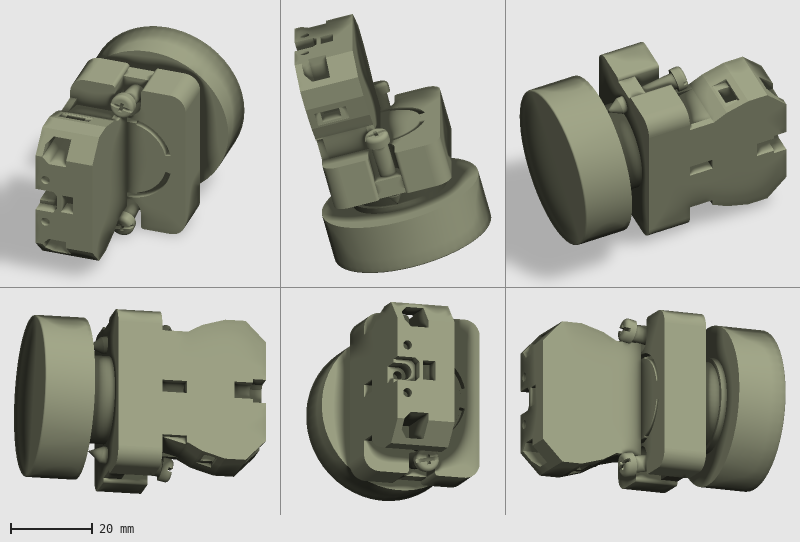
import cadquery as cq
import math


overall_length = 56.3

button_radius = 20.0
button_back_y = 6.8
button_face_y = 19.25
button_edge_radius = 0.4
neck_radius = 10.85
plunger_radius = 10.0
key_half_width = 2.2
key_height = 10.2
key_chamfer = 0.6

gasket_radius = 11.95
gasket_thickness = 1.45

base_width = 30.0
base_height = 40.0
base_depth = 11.05
base_corner_radius = 4.0
base_front_y = -base_depth
gap_radius = 11.45
gap_depth = 2.25
tab_half_angle = 13.0
notch_half_width = 3.4
notch_mouth_radius = 0.85
notch_floor_z = 12.0
bridge_depth = 4.45
bridge_top_z = 19.0

block_left_x = -base_width / 2
block_right_x = -0.2
block_front_y = button_face_y - overall_length
block_half_height = 17.85
block_root_half_height = 14.25
block_face_half_height = 12.6
root_end_y = -17.5
shoulder_y = -21.0
shoulder_half_height = 16.15
crown_start_y = -26.8
crown_end_y = -31.9

latch_left_x = -13.25
latch_right_x = -2.1
latch_half_height = 12.5

terminal_left_x = -13.25
terminal_right_x = -7.05
terminal_inner_z = 10.8
terminal_outer_z = 16.55
terminal_chamfer = 1.7
terminal_end_y = -22.1
window_left_x = -11.75
window_front_y = -25.15
label_right_x = -5.25
label_back_y = -21.55
label_floor_z = 16.25

hole_x = -12.45
hole_radius = 1.1
hole_depth = 3.4
test_hole_z = 6.0
pocket_right_x = -9.4
pocket_half_height = 3.0
pocket_chamfer = 1.0
pocket_depth = 3.25
slot_radius = 2.1
slot_depth = 7.9
indicator_left_x = -8.4
indicator_right_x = -5.25
indicator_half_height = 2.4
indicator_depth = 4.5

side_slot_radius = 1.5
side_recess_end_y = -17.15

screw_tilt = 10.8
screw_tip_y = 4.6
screw_tip_z = 13.35
screw_radius = 2.1
screw_point_length = 3.5
screw_head_radius = 3.0
screw_head_start = 18.45
screw_head_height = 2.75
screw_head_rounding = 1.0
drive_width = 0.9
drive_depth = 1.25
drive_arm_length = 2.35
drive_turn = 12.0


def block(x0, x1, y0, y1, z0, z1):
    """Rectangular block between two opposite corners."""
    return cq.Workplane("XY").box(x1 - x0, y1 - y0, z1 - z0, centered=False).translate((x0, y0, z0))


def disc(radius, y0, y1, x=0, z=0):
    """Cylinder along Y from y0 to y1."""
    return cq.Workplane("XZ", origin=(x, y0, z)).circle(radius).extrude(y0 - y1)


def prism_y(points, y0, y1):
    """Outline of (x, z) points carried along Y from y0 to y1."""
    return cq.Workplane("XZ", origin=(0, y0, 0)).polyline(points).close().extrude(y0 - y1)


def prism_x(points, x0, x1):
    """Outline of (y, z) points carried along X from x0 to x1."""
    return cq.Workplane("YZ", origin=(x0, 0, 0)).polyline(points).close().extrude(x1 - x0)


def both_sides(shape):
    """The shape together with its mirror image in Z."""
    return shape.union(shape.mirror("XY"))


def make_head():
    button = disc(button_radius, button_back_y, button_face_y).faces(">Y").edges().fillet(button_edge_radius)
    neck = disc(neck_radius, base_front_y + gap_depth, button_back_y)
    plunger = disc(plunger_radius, base_front_y, button_back_y)
    key = block(-key_half_width, key_half_width, base_front_y, 0, -key_height, key_height)
    key_cap = prism_x(
        [
            (base_front_y, -key_height),
            (base_front_y, key_height),
            (base_front_y + gap_depth, key_height + key_chamfer),
            (base_front_y + gap_depth, -key_height - key_chamfer),
        ],
        -key_half_width,
        key_half_width,
    )
    key = key.union(key_cap).intersect(disc(neck_radius, base_front_y, 0))
    return button.union(neck).union(plunger).union(key)


def make_gasket():
    gasket_front_y = button_back_y - gasket_thickness
    return disc(gasket_radius, gasket_front_y, button_back_y).cut(
        disc(neck_radius, gasket_front_y, button_back_y)
    )


def make_screw():
    """Upper screw: pan head with a slot and cross drive, cone-pointed shank."""
    face = screw_head_start + screw_head_height
    bend = screw_head_rounding * (1 - math.sqrt(0.5))
    screw = (
        cq.Workplane("XY")
        .lineTo(screw_radius, -screw_point_length)
        .lineTo(screw_radius, -screw_head_start)
        .lineTo(screw_head_radius, -screw_head_start)
        .lineTo(screw_head_radius, screw_head_rounding - face)
        .threePointArc((screw_head_radius - bend, bend - face), (screw_head_radius - screw_head_rounding, -face))
        .lineTo(0, -face)
        .close()
        .revolve(360, (0, 0, 0), (0, 1, 0))
    )
    half = drive_width / 2
    arm = drive_arm_length / 2
    drive = block(-screw_head_radius, screw_head_radius, -face, drive_depth - face, -half, half)
    drive = drive.union(block(-half, half, -face, drive_depth - face, -arm, arm))
    screw = screw.cut(drive.rotate((0, 0, 0), (0, 1, 0), drive_turn))
    return screw.rotate((0, 0, 0), (1, 0, 0), -screw_tilt).translate((0, screw_tip_y, screw_tip_z))


def make_base(head, screws):
    half_width = base_width / 2
    half_height = base_height / 2
    base = block(-half_width, half_width, base_front_y, 0, -half_height, half_height)
    base = base.edges("|Y").fillet(base_corner_radius)

    notch_centre_z = notch_floor_z + notch_half_width
    notch = disc(notch_half_width, base_front_y, 0, z=notch_centre_z).union(
        block(-notch_half_width, notch_half_width, base_front_y, 0, notch_centre_z, half_height)
    )
    base = base.cut(both_sides(notch))
    for side in (1, -1):
        for x in (notch_half_width, -notch_half_width):
            mouth_edge = cq.selectors.NearestToPointSelector((x, base_front_y / 2, side * half_height))
            base = base.edges("|Y").edges(mouth_edge).fillet(notch_mouth_radius)
    bridge = block(-notch_half_width, notch_half_width, -bridge_depth, 0, notch_floor_z, bridge_top_z)
    base = base.union(both_sides(bridge))

    gap = disc(gap_radius, base_front_y, base_front_y + gap_depth)
    tab_rise = gap_radius * math.tan(math.radians(tab_half_angle))
    for side in (1, -1):
        gap = gap.cut(
            prism_y(
                [(0, 0), (side * gap_radius, tab_rise), (side * gap_radius, -tab_rise)],
                base_front_y,
                base_front_y + gap_depth,
            )
        )
    base = base.cut(gap).cut(head)
    for screw in screws:
        base = base.cut(screw)
    return base


def block_body():
    upper = [
        (base_front_y, block_root_half_height),
        (root_end_y, block_root_half_height),
        (shoulder_y, shoulder_half_height),
        (crown_start_y, block_half_height),
        (crown_end_y, block_half_height),
        (block_front_y, block_face_half_height),
    ]
    lower = [(y, -z) for y, z in reversed(upper)]
    return prism_x(upper + lower, block_left_x, block_right_x)


def latch_recesses():
    ramp = prism_x(
        [
            (base_front_y, latch_half_height),
            (base_front_y, block_root_half_height),
            (root_end_y, block_root_half_height),
        ],
        latch_left_x,
        latch_right_x,
    )
    corner = block(
        block_left_x, latch_left_x, side_recess_end_y, base_front_y, -block_root_half_height, -latch_half_height
    )
    return both_sides(ramp).union(corner)


def terminal_openings():
    opening = prism_y(
        [
            (terminal_right_x, terminal_inner_z),
            (terminal_right_x, terminal_outer_z),
            (terminal_left_x + terminal_chamfer, terminal_outer_z),
            (terminal_left_x, terminal_outer_z - terminal_chamfer),
            (terminal_left_x, terminal_inner_z + terminal_chamfer),
            (terminal_left_x + terminal_chamfer, terminal_inner_z),
        ],
        block_front_y,
        terminal_end_y,
    )
    middle_z = (terminal_inner_z + terminal_outer_z) / 2
    window = block(
        window_left_x, terminal_right_x, window_front_y, terminal_end_y, middle_z, block_half_height
    )
    label = block(
        terminal_left_x, label_right_x, window_front_y, label_back_y, label_floor_z, block_half_height
    )
    return both_sides(opening.union(window).union(label))


def side_slot(radius, y0, y1):
    """Slot along Y, open on the -X side and round at its inner end."""
    return disc(radius, y0, y1, x=hole_x).union(block(block_left_x, hole_x, y0, y1, -radius, radius))


def fixing_pocket():
    pocket = prism_y(
        [
            (block_left_x, pocket_half_height),
            (pocket_right_x - pocket_chamfer, pocket_half_height),
            (pocket_right_x, pocket_half_height - pocket_chamfer),
            (pocket_right_x, pocket_chamfer - pocket_half_height),
            (pocket_right_x - pocket_chamfer, -pocket_half_height),
            (block_left_x, -pocket_half_height),
        ],
        block_front_y,
        block_front_y + pocket_depth,
    )
    slot_end_y = block_front_y + slot_depth
    hole = disc(hole_radius, slot_end_y, slot_end_y + hole_depth, x=hole_x)
    return pocket.union(side_slot(slot_radius, block_front_y, slot_end_y)).union(hole)


def make_contact_block(screws):
    body = block_body().cut(latch_recesses()).cut(terminal_openings()).cut(fixing_pocket())
    body = body.cut(side_slot(side_slot_radius, side_recess_end_y, base_front_y))
    body = body.cut(
        both_sides(disc(hole_radius, block_front_y, block_front_y + hole_depth, x=hole_x, z=test_hole_z))
    )
    body = body.cut(
        block(
            indicator_left_x,
            indicator_right_x,
            block_front_y,
            block_front_y + indicator_depth,
            -indicator_half_height,
            indicator_half_height,
        )
    )
    for screw in screws:
        body = body.cut(screw)
    return body


upper_screw = make_screw()
screws = [upper_screw, upper_screw.mirror("XY")]
head = make_head()
gasket = make_gasket()
base = make_base(head, screws)
contact_block = make_contact_block(screws)

bodies = [head, gasket, base, contact_block] + screws
result = cq.Compound.makeCompound([body.solids().val() for body in bodies])